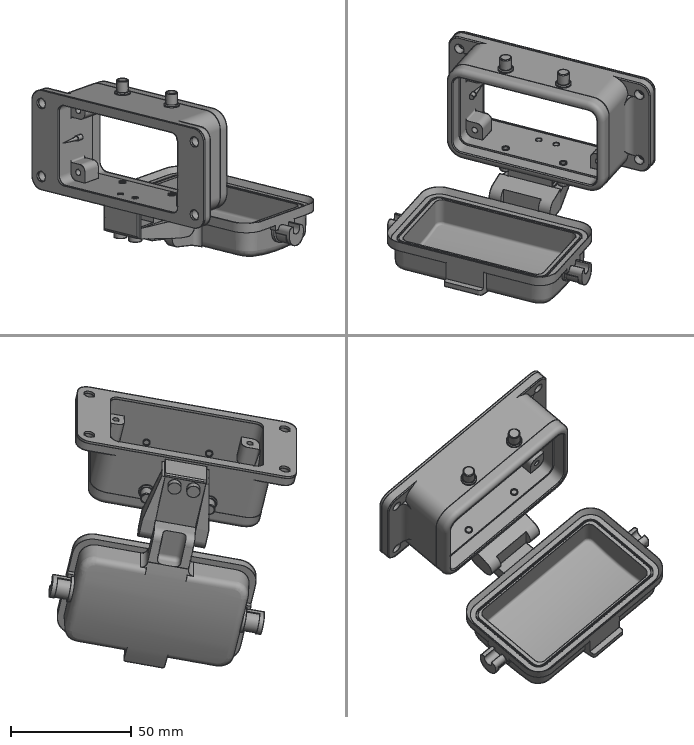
import cadquery as cq
import math


OVERLAP = 0.9

FLANGE_WIDTH = 93.0
FLANGE_HEIGHT = 43.2
FLANGE_THICKNESS = 4.9
GASKET_THICKNESS = 1.0
GASKET_OVERHANG = 0.1
FLANGE_RADIUS = 5.2
FLANGE_EDGE = 0.5
MOUNT_HOLE_X = 41.5
MOUNT_HOLE_Z = 15.9
MOUNT_HOLE_DIA = 4.3
GASKET_HOLE_DIA = 4.5
HOUSING_DEPTH = 28.55
BODY_WIDTH = 72.5
BODY_HEIGHT = FLANGE_HEIGHT - 2 * GASKET_OVERHANG
BODY_RADIUS = 6.9
COLLAR_START = 23.0
COLLAR_RADIUS = 7.5
COLLAR_GROWTH = 0.2
REAR_FILLET = 2.1
OPENING_WIDTH = 64.7
OPENING_HEIGHT = 34.8
OPENING_RADIUS = 3.3
REAR_RECESS_DEPTH = 6.1
REAR_RECESS_GROWTH = 0.7
REAR_RECESS_CHAMFER = 0.5

WEB_RADIUS = 3.2
WEB_HALF_HEIGHT = 11.4
WEB_BASE_HALF_HEIGHT = 14.4

BOSS_SIZE = 7.5
BOSS_RADIUS = 2.7
BOSS_START = 8.4
BOSS_LENGTH = 8.7
BOSS_HOLE_X = 28.5
BOSS_HOLE_Z = 13.5
BOSS_HOLE_DIA = 2.6
BOSS_BLEND = 0.7

RIB_DIA = 2.3
RIB_PROTRUSION = 1.9
RIB_TIP_Y = 2.5
RIB_SHOULDER_Y = 11.2
RIB_END_Y = 13.95
RIB_STEP = 0.3

PIN_X = 13.3
PIN_Y = 19.0
PIN_DIA = 4.9
PIN_TOP = 27.4
PIN_CHAMFER = 0.4
PIN_BASE_DIA = 6.5
PIN_BASE_TOP = 22.5
PIN_BASE_CHAMFER = 0.5
PIN_TAIL_DIA = 3.1
PIN_TAIL_HOLE_DIA = 2.5
PIN_TAIL_LENGTH = 0.5

BLOCK_HALF_WIDTH = 10.0
BLOCK_TOP = -21.9
BLOCK_FRONT = 11.2
BLOCK_NECK_HALF_WIDTH = 5.5
BLOCK_NECK_Y = 7.7
PIN_CLEARANCE_DIA = 8.7
BASE_PLATE_TOP = -28.2
BRACKET_HALF_WIDTH = 14.0
BRACKET_TOP = -28.8
BRACKET_FRONT = 3.2
BRACKET_REAR = 23.25
BRACKET_FRONT_BOTTOM = -33.5
BRACKET_REAR_BOTTOM = -37.1
FRONT_PLATE_HALF_WIDTH = 8.8
FRONT_PLATE_Y = 2.0
FRONT_PLATE_BOTTOM = -33.4
FRONT_PLATE_BEVEL_HEIGHT = 0.9
FRONT_PLATE_BEVEL_DEPTH = 0.4
KNUCKLE_TOP = -27.3
KNUCKLE_RADIUS = 4.3
KNUCKLE_CREST_SHIFT = 0.9
KNUCKLE_REAR = 33.2
KNUCKLE_BOTTOM = -37.8
KNUCKLE_GAP_Y = 30.7

SCREW_X = 4.0
SCREW_Y = 6.5
SCREW_HEAD_DIA = 5.5
SCREW_HEAD_BOTTOM = -36.1
SCREW_HEAD_TOP = -31.6
SCREW_SHANK_DIA = 3.0
SCREW_HOLE_DIA = 2.6
SCREW_HOLE_DEPTH = 0.4

LID_Y = 62.0
LID_WIDTH = 77.6
LID_DEPTH = 47.2
LID_RADIUS = 8.23
LID_TOP = -30.3
RIM_HEIGHT = 4.2
LIP_WIDTH = 1.7
LIP_DEPTH = 2.5
LID_BODY_WIDTH = 72.2
LID_BODY_DEPTH = 42.0
LID_BODY_RADIUS = 6.5
LID_BODY_DRAFT = 2.0
LID_BOTTOM = -48.2
LID_BOTTOM_ARC = 93.0
LID_BOTTOM_FILLET = 3.1
GROOVE_WIDTH = 69.6
GROOVE_DEPTH = 39.2
GROOVE_RADIUS = 4.2
GROOVE_GAP = 0.8
GROOVE_SINK = 0.9
CAVITY_WIDTH = 64.5
CAVITY_DEPTH = 35.9
CAVITY_RADIUS = 3.1
CAVITY_FILLET = 1.1
LID_WALL = 1.9

ARM_HALF_WIDTH = 8.65
ARM_TOP = -37.7
ARM_END_Y = 24.9
ARM_ROUND_TOP = -39.0
ARM_ROOT_BOTTOM = -44.9
ARM_END_BOTTOM = -43.4
TAB_END_Y = 88.2
TAB_TOP = -42.2
TAB_RADIUS = 1.1
ARM_NOTCH_WIDTH = 9.9
ARM_NOTCH_TOP = -39.8
ARM_NOTCH_RADIUS = 1.95

PEG_END_X = 44.8
PEG_ROOT_DEPTH = 1.4
PEG_Z = -39.0
PEG_RADIUS = 4.5
PEG_TOP = -35.0
PEG_CORNER_RADIUS = 1.95
PEG_WAIST_RADIUS = 4.1
PEG_WAIST_X = 42.9
PEG_WAIST_TOP = -38.4
PEG_SLOT_DIA = 4.0
PEG_SLOT_Z = -36.4
PEG_BASE_RADIUS = 5.5
PEG_BASE_Z = -38.0
PEG_BASE_X = 37.2
PEG_PAD_HALF_WIDTH = 6.1
PEG_PAD_BOTTOM = -36.7

HOUSING_FLOOR = -OPENING_HEIGHT / 2
HOUSING_UNDERSIDE = -BODY_HEIGHT / 2
RIM_BOTTOM = LID_TOP - RIM_HEIGHT
LID_NEAR_Y = LID_Y - LID_DEPTH / 2
LID_FAR_Y = LID_Y + LID_DEPTH / 2


def box(x0, x1, y0, y1, z0, z1):
    """Box given by its limits on each axis."""
    return cq.Workplane("XY").box(x1 - x0, y1 - y0, z1 - z0, centered=False).translate((x0, y0, z0))


def upright_slab(width, height, radius, y0, y1):
    """Rounded rectangle in XZ, filling y0 to y1."""
    slab = cq.Workplane("XZ", origin=(0, y0, 0)).rect(width, height).extrude(y0 - y1)
    return slab.edges("|Y").fillet(radius)


def lid_slab(width, depth, radius, z_top, height, draft=0.0):
    """Rounded rectangle centred on the lid, going down from z_top and narrowing by the draft angle."""
    outline = cq.Sketch().rect(width, depth).vertices().fillet(radius)
    return cq.Workplane("XY", origin=(0, LID_Y, z_top)).placeSketch(outline).extrude(-height, taper=draft)


def side_profile(half_width):
    """Workplane for outlines in (Y, Z) that are extruded across the full width."""
    return cq.Workplane("YZ", origin=(-half_width, 0, 0))


def cylinder_z(x, y, diameter, z0, z1):
    return cq.Workplane("XY", origin=(x, y, z0)).circle(diameter / 2).extrude(z1 - z0)


def mirror_x(shape):
    return shape.union(shape.mirror("YZ"))


def side_web():
    """Concave fillet joining the -X housing side to the flange, with sloping ends."""
    wall_x = -BODY_WIDTH / 2
    top_y = FLANGE_THICKNESS + WEB_RADIUS
    bend = WEB_RADIUS * (1 - math.sqrt(0.5))
    web = (
        cq.Workplane("XY", origin=(0, 0, -WEB_BASE_HALF_HEIGHT))
        .moveTo(wall_x + OVERLAP, FLANGE_THICKNESS - OVERLAP)
        .lineTo(wall_x - WEB_RADIUS, FLANGE_THICKNESS - OVERLAP)
        .lineTo(wall_x - WEB_RADIUS, FLANGE_THICKNESS)
        .threePointArc((wall_x - bend, FLANGE_THICKNESS + bend), (wall_x, top_y))
        .lineTo(wall_x + OVERLAP, top_y)
        .close()
        .extrude(2 * WEB_BASE_HALF_HEIGHT)
    )
    sloping_ends = (
        side_profile(FLANGE_WIDTH / 2)
        .polyline([
            (0, -WEB_BASE_HALF_HEIGHT),
            (FLANGE_THICKNESS, -WEB_BASE_HALF_HEIGHT),
            (top_y, -WEB_HALF_HEIGHT),
            (top_y, WEB_HALF_HEIGHT),
            (FLANGE_THICKNESS, WEB_BASE_HALF_HEIGHT),
            (0, WEB_BASE_HALF_HEIGHT),
        ])
        .close()
        .extrude(FLANGE_WIDTH)
    )
    return web.intersect(sloping_ends)


def insert_boss():
    """Boss with a through hole in the -X, -Z corner of the opening."""
    x_wall = -OPENING_WIDTH / 2
    boss = box(x_wall - OVERLAP, x_wall + BOSS_SIZE, BOSS_START, BOSS_START + BOSS_LENGTH,
               HOUSING_FLOOR - OVERLAP, HOUSING_FLOOR + BOSS_SIZE)
    boss = boss.edges("|Y and >X and >Z").fillet(BOSS_RADIUS)
    z_top = HOUSING_FLOOR + BOSS_SIZE
    blend = box(x_wall - OVERLAP, x_wall + BOSS_BLEND, BOSS_START, BOSS_START + BOSS_LENGTH,
                z_top - OVERLAP, z_top + BOSS_BLEND)
    blend_cut = (
        cq.Workplane("XZ", origin=(x_wall + BOSS_BLEND, 0, z_top + BOSS_BLEND))
        .circle(BOSS_BLEND)
        .extrude(-HOUSING_DEPTH)
    )
    hole = (
        cq.Workplane("XZ", origin=(-BOSS_HOLE_X, 0, -BOSS_HOLE_Z))
        .circle(BOSS_HOLE_DIA / 2)
        .extrude(-HOUSING_DEPTH)
    )
    return boss.union(blend.cut(blend_cut)).cut(hole)


def guide_rib():
    """Short round rib on the -X inner wall, running out to a point towards the flange."""
    axis_x = -OPENING_WIDTH / 2 + RIB_PROTRUSION - RIB_DIA / 2
    radius = RIB_DIA / 2
    return (
        cq.Workplane("XY", origin=(axis_x, 0, 0))
        .polyline([
            (0, RIB_TIP_Y),
            (radius - RIB_STEP, RIB_SHOULDER_Y),
            (radius, RIB_SHOULDER_Y),
            (radius, RIB_END_Y),
            (0, RIB_END_Y),
        ])
        .close()
        .revolve(360, (0, 0, 0), (0, 1, 0))
    )


def locking_pin(x):
    """Pin on top of the housing, with a collar and a hollow tail inside the opening."""
    pin = cylinder_z(x, PIN_Y, PIN_DIA, BODY_HEIGHT / 2 - OVERLAP, PIN_TOP).faces(">Z").chamfer(PIN_CHAMFER)
    base = cylinder_z(x, PIN_Y, PIN_BASE_DIA, BODY_HEIGHT / 2 - OVERLAP, PIN_BASE_TOP)
    base = base.faces(">Z").chamfer(PIN_BASE_CHAMFER)
    tail_z = OPENING_HEIGHT / 2 - PIN_TAIL_LENGTH
    tail = cylinder_z(x, PIN_Y, PIN_TAIL_DIA, tail_z, BODY_HEIGHT / 2)
    tail_hole = cylinder_z(x, PIN_Y, PIN_TAIL_HOLE_DIA, tail_z, OPENING_HEIGHT / 2)
    return pin.union(base).union(tail.cut(tail_hole))


def opening_slab(growth, y0, y1):
    """Shape of the opening, grown outward on all sides, filling y0 to y1."""
    width = OPENING_WIDTH + 2 * growth
    height = OPENING_HEIGHT + 2 * growth
    return upright_slab(width, height, OPENING_RADIUS + growth, y0, y1)


def mount_holes(diameter, depth):
    return (
        cq.Workplane("XZ")
        .rect(2 * MOUNT_HOLE_X, 2 * MOUNT_HOLE_Z, forConstruction=True)
        .vertices()
        .circle(diameter / 2)
        .extrude(-depth)
    )


def housing():
    """Flanged box with a front gasket, a through opening, insert bosses and locking pins."""
    gasket = upright_slab(FLANGE_WIDTH, FLANGE_HEIGHT, FLANGE_RADIUS, 0, GASKET_THICKNESS)
    flange = upright_slab(FLANGE_WIDTH - 2 * GASKET_OVERHANG, BODY_HEIGHT, FLANGE_RADIUS - GASKET_OVERHANG,
                          0, FLANGE_THICKNESS)
    flange = flange.faces(">Y").chamfer(FLANGE_EDGE).union(gasket)
    body = upright_slab(BODY_WIDTH, BODY_HEIGHT, BODY_RADIUS, 0, COLLAR_START)
    collar = upright_slab(BODY_WIDTH + COLLAR_GROWTH, BODY_HEIGHT + COLLAR_GROWTH, COLLAR_RADIUS,
                          COLLAR_START, HOUSING_DEPTH)
    collar = collar.faces(">Y").edges().fillet(REAR_FILLET)
    shell = flange.union(body).union(collar).union(mirror_x(side_web()))
    shell = shell.cut(opening_slab(0, 0, HOUSING_DEPTH))
    shell = shell.cut(opening_slab(GASKET_OVERHANG, 0, GASKET_THICKNESS))
    shell = shell.cut(opening_slab(REAR_RECESS_GROWTH, HOUSING_DEPTH - REAR_RECESS_DEPTH, HOUSING_DEPTH))
    bevel = opening_slab(REAR_RECESS_GROWTH + REAR_RECESS_CHAMFER, HOUSING_DEPTH - REAR_RECESS_CHAMFER,
                         HOUSING_DEPTH + OVERLAP)
    shell = shell.cut(bevel.faces("<Y").chamfer(REAR_RECESS_CHAMFER))
    shell = shell.cut(mount_holes(MOUNT_HOLE_DIA, FLANGE_THICKNESS))
    shell = shell.cut(mount_holes(GASKET_HOLE_DIA, GASKET_THICKNESS))
    lower_bosses = mirror_x(insert_boss())
    pins = mirror_x(locking_pin(PIN_X))
    shell = shell.union(mirror_x(guide_rib()))
    for upper_or_lower in (lower_bosses, pins):
        shell = shell.union(upper_or_lower).union(upper_or_lower.mirror("XY"))
    return shell


def bracket_neck():
    """Narrow front part of the bracket block, with slanted flanks and a scoop on each side."""
    scoop_radius = BLOCK_FRONT - BLOCK_NECK_Y
    scoop_x = BLOCK_NECK_HALF_WIDTH - scoop_radius
    scoop_mid_x = BLOCK_NECK_HALF_WIDTH - scoop_radius * math.sqrt(0.5)
    scoop_mid_y = BLOCK_FRONT - scoop_radius * math.sqrt(0.5)
    return (
        cq.Workplane("XY", origin=(0, 0, BRACKET_TOP))
        .moveTo(-BLOCK_HALF_WIDTH, BRACKET_FRONT)
        .lineTo(BLOCK_HALF_WIDTH, BRACKET_FRONT)
        .lineTo(BLOCK_NECK_HALF_WIDTH, BLOCK_NECK_Y)
        .threePointArc((scoop_mid_x, scoop_mid_y), (scoop_x, BLOCK_FRONT))
        .lineTo(-scoop_x, BLOCK_FRONT)
        .threePointArc((-scoop_mid_x, scoop_mid_y), (-BLOCK_NECK_HALF_WIDTH, BLOCK_NECK_Y))
        .close()
        .extrude(BLOCK_TOP - BRACKET_TOP)
    )


def bracket_arms():
    """Tapering lower part of the bracket, open in the middle for the lid arm and ending in two knuckles."""
    plan = (
        cq.Workplane("XY", origin=(0, 0, KNUCKLE_BOTTOM))
        .polyline([
            (-BLOCK_HALF_WIDTH, BRACKET_FRONT),
            (BLOCK_HALF_WIDTH, BRACKET_FRONT),
            (BRACKET_HALF_WIDTH, BRACKET_REAR),
            (BRACKET_HALF_WIDTH, KNUCKLE_REAR),
            (-BRACKET_HALF_WIDTH, KNUCKLE_REAR),
            (-BRACKET_HALF_WIDTH, BRACKET_REAR),
        ])
        .close()
        .extrude(KNUCKLE_TOP - KNUCKLE_BOTTOM)
    )
    barrel_y = KNUCKLE_REAR - KNUCKLE_RADIUS
    barrel_z = KNUCKLE_BOTTOM + KNUCKLE_RADIUS
    side = (
        side_profile(BRACKET_HALF_WIDTH)
        .moveTo(BRACKET_FRONT, BRACKET_TOP)
        .lineTo(BRACKET_REAR, BRACKET_TOP)
        .lineTo(BRACKET_REAR, KNUCKLE_TOP)
        .lineTo(barrel_y + KNUCKLE_CREST_SHIFT, barrel_z + KNUCKLE_RADIUS)
        .threePointArc((KNUCKLE_REAR, barrel_z), (barrel_y, KNUCKLE_BOTTOM))
        .lineTo(BRACKET_REAR, BRACKET_REAR_BOTTOM)
        .lineTo(BRACKET_FRONT, BRACKET_FRONT_BOTTOM)
        .close()
        .extrude(2 * BRACKET_HALF_WIDTH)
    )
    knuckle_gap = box(-ARM_HALF_WIDTH, ARM_HALF_WIDTH, KNUCKLE_GAP_Y, KNUCKLE_REAR,
                      KNUCKLE_BOTTOM, KNUCKLE_TOP)
    arm_gap = box(-ARM_HALF_WIDTH, ARM_HALF_WIDTH, BRACKET_FRONT, KNUCKLE_REAR,
                  KNUCKLE_BOTTOM, BRACKET_FRONT_BOTTOM)
    return plan.intersect(side).cut(knuckle_gap).cut(arm_gap)


def hinge_bracket():
    """Bracket screwed under the housing, with two knuckles either side of the lid arm."""
    block = box(-BLOCK_HALF_WIDTH, BLOCK_HALF_WIDTH, BLOCK_FRONT, BRACKET_REAR, BRACKET_TOP, BLOCK_TOP)
    for x in (-PIN_X, PIN_X):
        block = block.cut(cylinder_z(x, PIN_Y, PIN_CLEARANCE_DIA, BASE_PLATE_TOP, BLOCK_TOP))
    front_plate = box(-FRONT_PLATE_HALF_WIDTH, FRONT_PLATE_HALF_WIDTH, FRONT_PLATE_Y, BRACKET_FRONT,
                      FRONT_PLATE_BOTTOM, HOUSING_UNDERSIDE)
    front_plate = front_plate.edges("<Y and <Z").chamfer(FRONT_PLATE_BEVEL_HEIGHT, FRONT_PLATE_BEVEL_DEPTH)
    base_plate = box(-BLOCK_HALF_WIDTH, BLOCK_HALF_WIDTH, BRACKET_FRONT, BRACKET_REAR,
                     BRACKET_TOP, BASE_PLATE_TOP)
    bracket = bracket_arms().union(base_plate).union(block).union(bracket_neck()).union(front_plate)
    for x in (-SCREW_X, SCREW_X):
        bracket = bracket.union(cylinder_z(x, SCREW_Y, SCREW_HEAD_DIA, SCREW_HEAD_BOTTOM, SCREW_HEAD_TOP))
        bracket = bracket.union(cylinder_z(x, SCREW_Y, SCREW_SHANK_DIA, SCREW_HEAD_TOP, HOUSING_UNDERSIDE))
    return bracket


def bottom_envelope(rise):
    """Space above the arched lid underside, moved up by rise."""
    centre_z = LID_BOTTOM + rise + LID_BOTTOM_ARC
    arch = cq.Workplane("YZ", origin=(-FLANGE_WIDTH / 2, LID_Y, centre_z)).circle(LID_BOTTOM_ARC)
    return arch.extrude(FLANGE_WIDTH)


def lid_rib():
    """Central rib across the lid body, blended into the side that carries the hinge arm."""
    body_near_y = LID_Y - LID_BODY_DEPTH / 2
    rib = box(-ARM_HALF_WIDTH, ARM_HALF_WIDTH, LID_NEAR_Y, LID_FAR_Y, LID_BOTTOM, RIM_BOTTOM)
    reach = body_near_y - LID_NEAR_Y
    blend_half = ARM_HALF_WIDTH + reach
    blend = box(-blend_half, blend_half, LID_NEAR_Y, body_near_y, LID_BOTTOM, RIM_BOTTOM)
    for x in (-blend_half, blend_half):
        blend = blend.cut(cylinder_z(x, LID_NEAR_Y, 2 * reach, LID_BOTTOM, RIM_BOTTOM))
    return rib.union(blend).intersect(bottom_envelope(0))


def opening_tab():
    """Finger tab on the far edge of the lid."""
    tab = box(-ARM_HALF_WIDTH, ARM_HALF_WIDTH, LID_FAR_Y - OVERLAP, TAB_END_Y, LID_BOTTOM, TAB_TOP)
    tab = tab.edges("|Z and >Y").fillet(TAB_RADIUS)
    return tab.intersect(bottom_envelope(0))


def hinge_arm():
    """Arm from the lid to the bracket, rising into the bracket between the knuckles."""
    arm = (
        side_profile(ARM_HALF_WIDTH)
        .moveTo(LID_NEAR_Y + OVERLAP, ARM_TOP)
        .lineTo(KNUCKLE_GAP_Y, ARM_TOP)
        .lineTo(KNUCKLE_GAP_Y, BRACKET_FRONT_BOTTOM)
        .lineTo(ARM_END_Y, BRACKET_FRONT_BOTTOM)
        .lineTo(ARM_END_Y, ARM_ROUND_TOP)
        .tangentArcPoint((ARM_END_Y + ARM_ROUND_TOP - ARM_END_BOTTOM, ARM_END_BOTTOM), relative=False)
        .lineTo(LID_NEAR_Y, ARM_ROOT_BOTTOM)
        .lineTo(LID_NEAR_Y + OVERLAP, ARM_ROOT_BOTTOM)
        .close()
        .extrude(2 * ARM_HALF_WIDTH)
    )
    notch = box(-ARM_NOTCH_WIDTH / 2, ARM_NOTCH_WIDTH / 2, ARM_END_Y, LID_NEAR_Y, LID_BOTTOM, ARM_NOTCH_TOP)
    notch = notch.edges("(|Y and >Z) or (>Y and |Z) or (>Y and >Z)").fillet(ARM_NOTCH_RADIUS)
    return arm.cut(notch)


def latch_peg():
    """Slotted peg on the -X side of the lid, with its base disc and the pad under the rim."""
    inner_x = -LID_BODY_WIDTH / 2 + PEG_ROOT_DEPTH

    def disc(radius, x_end, z):
        return cq.Workplane("YZ", origin=(x_end, LID_Y, z)).circle(radius).extrude(inner_x - x_end)

    shoulders = box(-PEG_END_X, inner_x, LID_Y - PEG_RADIUS, LID_Y + PEG_RADIUS, PEG_Z, PEG_TOP)
    shoulders = shoulders.edges("|X and >Z").fillet(PEG_CORNER_RADIUS)
    rod = disc(PEG_RADIUS, -PEG_END_X, PEG_Z).union(shoulders)
    waist = box(-PEG_WAIST_X, inner_x, LID_Y - PEG_RADIUS, LID_Y + PEG_RADIUS,
                PEG_Z - PEG_RADIUS, PEG_WAIST_TOP)
    waist = waist.cut(disc(PEG_WAIST_RADIUS, -PEG_WAIST_X, PEG_Z))
    peg = rod.cut(waist).union(disc(PEG_BASE_RADIUS, -PEG_BASE_X, PEG_BASE_Z))
    slot_radius = PEG_SLOT_DIA / 2
    slot = cq.Workplane("YZ", origin=(-PEG_END_X, LID_Y, PEG_SLOT_Z)).circle(slot_radius)
    slot = slot.extrude(PEG_END_X - PEG_BASE_X)
    slot_mouth = box(-PEG_END_X, -PEG_BASE_X, LID_Y - slot_radius, LID_Y + slot_radius, PEG_SLOT_Z, PEG_TOP)
    above = box(-PEG_END_X, inner_x, LID_Y - PEG_BASE_RADIUS, LID_Y + PEG_BASE_RADIUS, PEG_TOP, LID_TOP)
    pad = box(-LID_WIDTH / 2, inner_x, LID_Y - PEG_PAD_HALF_WIDTH, LID_Y + PEG_PAD_HALF_WIDTH,
              PEG_PAD_BOTTOM, RIM_BOTTOM)
    return peg.cut(slot).cut(slot_mouth).cut(above).union(pad)


def lid():
    """Arched lid with a sloping lip, seal groove and cavity."""
    rim = lid_slab(LID_WIDTH, LID_DEPTH, LID_RADIUS, LID_TOP, RIM_HEIGHT)
    body = lid_slab(LID_BODY_WIDTH, LID_BODY_DEPTH, LID_BODY_RADIUS, RIM_BOTTOM, RIM_BOTTOM - LID_BOTTOM,
                    LID_BODY_DRAFT)
    body = body.intersect(bottom_envelope(0)).faces("<Z").edges().fillet(LID_BOTTOM_FILLET)
    shape = rim.union(body).union(lid_rib()).union(opening_tab())
    shape = shape.union(hinge_arm()).union(mirror_x(latch_peg()))

    lip_draft = math.degrees(math.atan2(LIP_WIDTH, LIP_DEPTH))
    recess = lid_slab(LID_WIDTH, LID_DEPTH, LID_RADIUS, LID_TOP, LIP_DEPTH, lip_draft)
    seat_z = LID_TOP - LIP_DEPTH
    groove = lid_slab(GROOVE_WIDTH, GROOVE_DEPTH, GROOVE_RADIUS, seat_z, GROOVE_SINK)
    ridge = lid_slab(GROOVE_WIDTH - 2 * GROOVE_GAP, GROOVE_DEPTH - 2 * GROOVE_GAP,
                     GROOVE_RADIUS - GROOVE_GAP, seat_z, GROOVE_SINK)
    cavity = lid_slab(CAVITY_WIDTH, CAVITY_DEPTH, CAVITY_RADIUS, seat_z, seat_z - LID_BOTTOM)
    cavity = cavity.intersect(bottom_envelope(LID_WALL)).faces("<Z").edges().fillet(CAVITY_FILLET)
    return shape.cut(recess).cut(groove.cut(ridge)).cut(cavity)


def screw_tip_recesses():
    """Shallow round recesses in the housing floor above the bracket screws."""
    recess_bottom = HOUSING_FLOOR - SCREW_HOLE_DEPTH
    return mirror_x(cylinder_z(SCREW_X, SCREW_Y, SCREW_HOLE_DIA, recess_bottom, HOUSING_FLOOR))


result = housing().union(hinge_bracket()).union(lid()).cut(screw_tip_recesses())